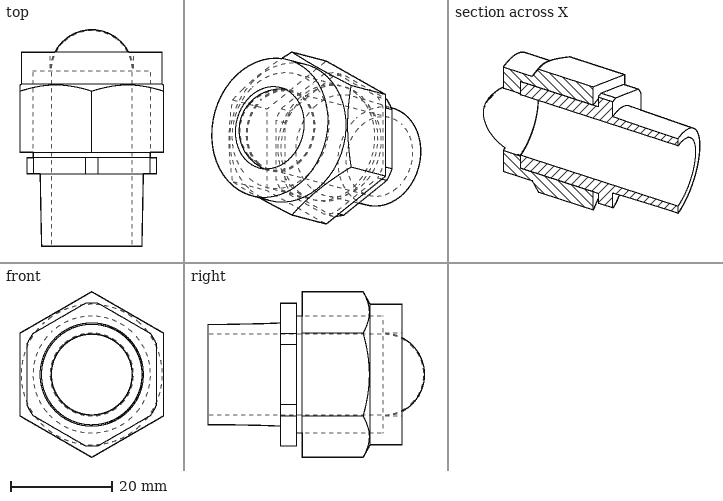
import cadquery as cq


total_length = 42.7
spigot_length = 14.25
flange_thickness = 3.2
neck_gap = 1.05
nut_hex_length = 13.4
nut_collar_length = 6.3

bore_diameter = 15.9
spigot_end_diameter = 19.8
spigot_base_diameter = 20.35
flange_across_flats = 25.55
flange_corner_diameter = 28.18
neck_diameter = 23.1
nut_across_corners = 32.65
nut_collar_diameter = 27.75
nut_corner_drop = 1.35
dome_outer_diameter = 16.4
dome_inner_diameter = 16.0

flange_end = spigot_length + flange_thickness
nut_start = flange_end + neck_gap
nut_hex_end = nut_start + nut_hex_length
nut_end = nut_hex_end + nut_collar_length
dome_center = total_length - dome_outer_diameter / 2

HEX_CORNER_RATIO = 2 / 3**0.5


def plane_at(y):
    """Plane square to the axis, with its normal along +Y and its local X along +Z."""
    return cq.Plane(origin=(0, y, 0), xDir=(0, 0, 1), normal=(0, 1, 0))


def cylinder(diameter, start, end):
    return cq.Workplane(plane_at(start)).circle(diameter / 2).extrude(end - start)


def hexagon(across_corners, start, end):
    """Hexagonal prism with two corners on the Z axis."""
    return cq.Workplane(plane_at(start)).polygon(6, across_corners).extrude(end - start)


def revolve_about_y(profile):
    return profile.close().revolve(360, (0, 0, 0), (0, 1, 0))


def make_gland_body():
    """Tapered spigot, flange and neck with a bore right through."""
    spigot = revolve_about_y(
        cq.Workplane("XY")
        .lineTo(spigot_end_diameter / 2, 0)
        .lineTo(spigot_base_diameter / 2, spigot_length)
        .lineTo(0, spigot_length)
    )
    flange = hexagon(flange_across_flats * HEX_CORNER_RATIO, spigot_length, flange_end)
    flange = flange.intersect(cylinder(flange_corner_diameter, spigot_length, flange_end))
    neck = cylinder(neck_diameter, flange_end, dome_center)
    bore = cylinder(bore_diameter, 0, dome_center)
    return spigot.union(flange).union(neck).cut(bore)


def make_nut():
    """Hexagonal nut with chamfered corners and a round collar, open at both ends."""
    corner_radius = nut_across_corners / 2
    chamfer_envelope = revolve_about_y(
        cq.Workplane("XY")
        .moveTo(0, nut_start)
        .lineTo(corner_radius, nut_start)
        .lineTo(corner_radius, nut_hex_end - nut_corner_drop)
        .lineTo(nut_collar_diameter / 2, nut_hex_end)
        .lineTo(0, nut_hex_end)
    )
    hex_part = hexagon(nut_across_corners, nut_start, nut_hex_end).intersect(chamfer_envelope)
    collar = cylinder(nut_collar_diameter, nut_hex_end, nut_end)
    neck_bore = cylinder(neck_diameter, nut_start, dome_center)
    dome_hole = cylinder(dome_outer_diameter, dome_center, nut_end)
    return hex_part.union(collar).cut(neck_bore).cut(dome_hole)


def make_dome():
    """Hollow hemisphere seated on the end face of the neck."""
    outer = cq.Workplane("XY").sphere(dome_outer_diameter / 2)
    inner = cq.Workplane("XY").sphere(dome_inner_diameter / 2)
    shell = outer.cut(inner).translate((0, dome_center, 0))
    return shell.intersect(cylinder(dome_outer_diameter, dome_center, total_length))


gland_body = make_gland_body()
nut = make_nut()
dome = make_dome()

result = cq.Compound.makeCompound([part.solids().val() for part in (gland_body, nut, dome)])